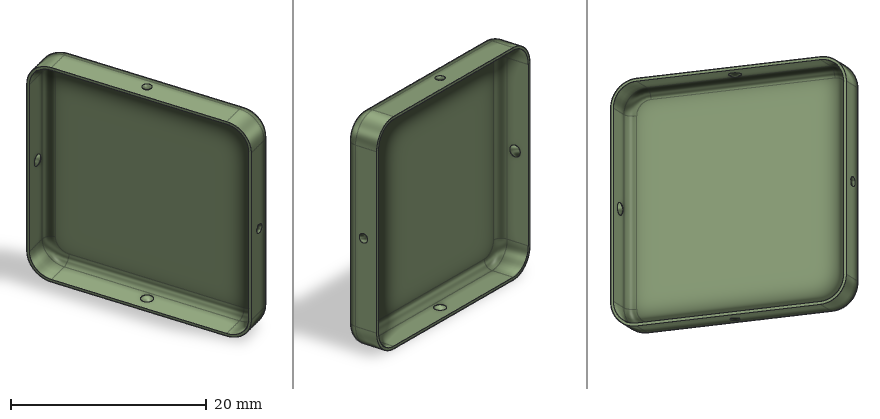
import cadquery as cq

side = 26.3
depth = 4.0
wall = 0.32
corner_radius = 2.9
floor_edge_radius = 1.32

dimple_radius = 0.65
dimple_depth = 0.25
dimple_from_rim = 1.68

rim_y = -depth / 2
dimple_y = rim_y + dimple_from_rim
sphere_offset = side / 2 + dimple_radius - dimple_depth


def rounded_block(width, height, corner, edge):
    """Square block rising from the rim toward +Y, rounded at its corners and far edge."""
    return (
        cq.Workplane("XZ", origin=(0, rim_y, 0))
        .rect(width, width)
        .extrude(-height)
        .edges("|Y")
        .fillet(corner)
        .faces(">Y")
        .edges()
        .fillet(edge)
    )


def side_spheres(radius):
    """Spheres centred just outside the middle of each of the four side walls."""
    pole_axis = (0, 1, 0)
    centre = (0, dimple_y, sphere_offset)
    top_sphere = cq.Workplane("XY").sphere(radius, direct=pole_axis).translate(centre)
    return [top_sphere.rotate((0, 0, 0), pole_axis, turn) for turn in (0, 90, 180, 270)]


outer = rounded_block(side, depth, corner_radius, floor_edge_radius)
cavity = rounded_block(
    side - 2 * wall,
    depth - wall,
    corner_radius - wall,
    floor_edge_radius - wall,
)

for bump in side_spheres(dimple_radius + wall):
    cavity = cavity.cut(bump)

result = outer.cut(cavity)
for dimple in side_spheres(dimple_radius):
    result = result.cut(dimple)